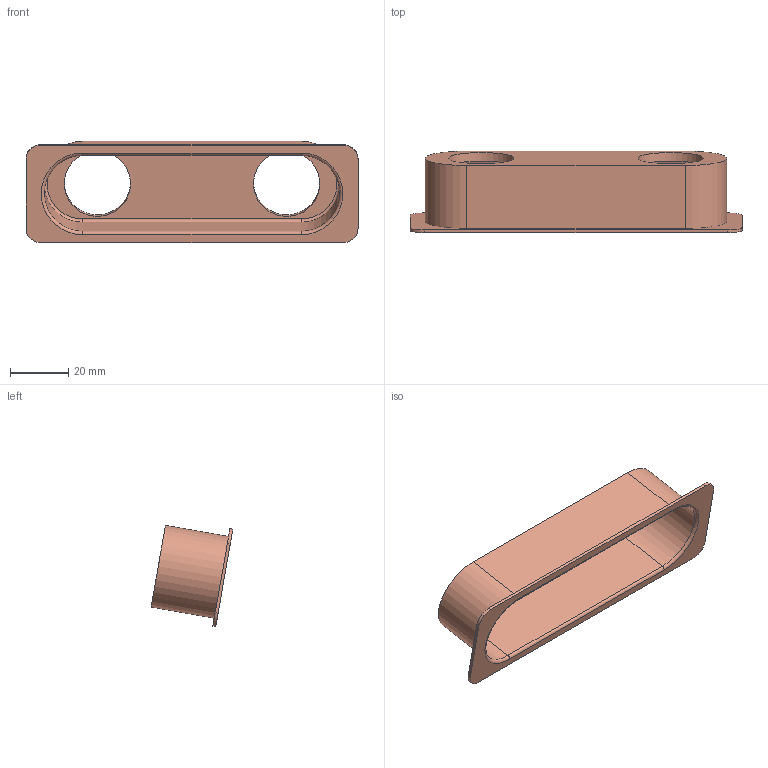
import cadquery as cq

tilt_angle = 10.0
total_depth = 23.0

flange_width = 114.0
flange_height = 34.0
flange_thickness = 1.0
flange_corner_radius = 5.0

cup_height = 28.5
cup_straight_length = 75.0
cup_width = cup_straight_length + cup_height
wall = 1.0
back_wall = 3.0
mouth_radius = 1.0
floor_radius = 1.0

hole_diameter = 22.75
hole_spacing = 65.0


def front_plane(depth):
    """Plane parallel to the flange face, at the given depth along +Y."""
    return cq.Workplane("XZ", origin=(0, depth, 0))


def stadium(width, height, start, end):
    """Solid stadium running along Y from start to end."""
    return front_plane(start).slot2D(width, height).extrude(start - end)


def make_flange():
    plate = front_plane(0).rect(flange_width, flange_height).extrude(-flange_thickness)
    return plate.edges("|Y").fillet(flange_corner_radius)


def make_cup():
    outside = stadium(cup_width, cup_height, 0, total_depth)
    body = make_flange().union(outside)
    cavity = stadium(cup_width - 2 * wall, cup_height - 2 * wall, 0, total_depth - back_wall)
    rounded_cavity = cavity.faces(">Y").edges().fillet(floor_radius)
    return body.cut(rounded_cavity)


def round_mouth(body):
    """Round the inner rim where the cavity opens through the flange face."""
    rim = cq.selectors.BoxSelector(
        (-cup_width / 2, -mouth_radius / 2, -cup_height / 2),
        (cup_width / 2, mouth_radius / 2, cup_height / 2),
    )
    return body.faces("<Y").edges(rim).fillet(mouth_radius)


def cut_holes(body):
    for side in (-1, 1):
        hole = (
            front_plane(total_depth)
            .center(side * hole_spacing / 2, 0)
            .circle(hole_diameter / 2)
            .extrude(2 * back_wall, both=True)
        )
        body = body.cut(hole)
    return body


part = cut_holes(round_mouth(make_cup()))
result = part.rotate((0, 0, 0), (1, 0, 0), tilt_angle)